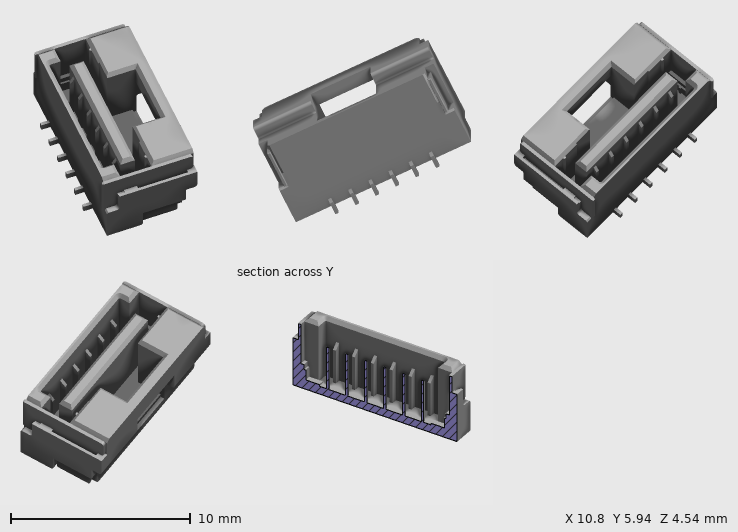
import cadquery as cq
import math


width = 10.85
depth = 5.44
height = 4.4
edge_chamfer = 0.21
ledge_height = 3.16

overhang_length = 0.69
overhang_base = 1.88
overhang_nose_radius = 0.2
overhang_root_radius = 0.11
base_depth = depth - overhang_length

plate_thickness = 0.21
plate_outer = 5.08
plate_inner = plate_outer - plate_thickness
plate_top = 4.22
plate_back = 5.33
plate_corner_radius = 0.17
tip_inset = 0.03
tab_projection = 0.11
tab_base = 2.08
foot_front = 2.2
foot_back = 4.37
foot_drop = 0.14

notch_length = 0.76
notch_base = 2.02
notch_root_radius = 0.17
notch_lip_chamfer = 0.1

slot_width = 0.17
front_slot_depth = 0.1
rear_slot_depth = 0.29
rear_slot_front = 1.94
rear_slot_back = 4.95
front_slot_back = 1.15

recess_front = 2.18
recess_height = 1.01
recess_bevel = 0.12

floor_height = 0.65
front_wall = 0.33
post_back = 1.02
post_inner = 3.94
post_root_radius = 0.1
block_front = 2.91
relief_half_width = 3.02
relief_depth = 0.07
lower_wall_inner = 4.56
lower_wall_height = 1.3
middle_wall_inner = 4.67
middle_wall_height = 1.63
trench_half_width = 3.66
trench_depth = 0.11

window_half_width = 1.85
window_back = 4.68
window_bar_base = 3.12
floor_step_front = 4.5
floor_step_drop = 0.22

tongue_half_width = 3.8
tongue_front = 1.49
tongue_back = 2.34
tongue_top = 3.97

block_rib_center = 4.09
block_rib_root_width = 0.2
block_rib_tip_width = 0.12
block_rib_projection = 0.1
block_rib_top = height - edge_chamfer
wall_rib_front = 1.87
wall_rib_length = 0.16
wall_rib_projection = 0.08

contact_count = 6
contact_pitch = 1.25
contact_width = 0.2
tail_length = 0.5
tail_top = 0.25
tail_bend_start = 0.45
tail_bend_end = 0.22
tongue_contact_depth = 0.23
tongue_contact_top = 3.47
wall_contact_depth = 0.35
wall_contact_top = 3.04
contact_slope_drop = 0.33

margin = 0.01


def box(x0, x1, y0, y1, z0, z1):
    """Box between two opposite corners."""
    return cq.Workplane("XY").box(x1 - x0, y1 - y0, z1 - z0, centered=False).translate((x0, y0, z0))


def centred_box(half_width, y0, y1, z0, z1):
    """Box symmetric about X = 0."""
    return box(-half_width, half_width, y0, y1, z0, z1)


def side_prism(points, x0, x1):
    """Outline of (Y, Z) points extruded from x0 to x1."""
    return cq.Workplane("YZ").polyline(points).close().extrude(x1 - x0).translate((x0, 0, 0))


def both_sides(shape):
    """Shape together with its mirror image across X = 0."""
    return shape.union(shape.mirror("YZ"))


def make_cavity():
    """Open-topped space: contact space, mating space and rear window, down to the floor."""
    contact_space = centred_box(post_inner, front_wall, post_back, floor_height - trench_depth, height)
    contact_space = contact_space.edges("|Z and <Y").fillet(post_root_radius)
    mating_space = centred_box(plate_inner, post_back, block_front, floor_height, height)
    window = centred_box(window_half_width, block_front - margin, window_back, floor_height, height)
    return contact_space.union(mating_space).union(window)


def make_upper_body():
    """Full-height housing with its cavity and a top rim chamfered except at the front and rear."""
    body = centred_box(plate_inner, 0, depth, 0, height).cut(make_cavity())
    rim_edges = body.faces(">Z").edges(cq.selectors.BoxSelector(
        (-plate_inner - margin, margin, height - margin),
        (plate_inner + margin, depth - margin, height + margin)))
    return rim_edges.chamfer(edge_chamfer)


def make_side_ledge():
    """Right-hand thick lower side, outside the cavity, with its front notch and clearance slots."""
    ledge = box(plate_inner, width / 2, 0, depth, 0, ledge_height)
    notch = box(plate_outer, width / 2, 0, notch_length, notch_base, ledge_height)
    notch = notch.edges("|X and >Y and <Z").fillet(notch_root_radius)
    ledge = ledge.cut(notch)
    lip = cq.selectors.BoxSelector((plate_outer, -margin, notch_base - margin),
                                   (width / 2, margin, notch_base + margin))
    ledge = ledge.edges(lip).chamfer(notch_lip_chamfer)
    slot_outer = plate_outer + slot_width
    front_slot = box(plate_outer, slot_outer, notch_length, front_slot_back,
                     ledge_height - front_slot_depth, ledge_height)
    rear_slot = box(plate_outer, slot_outer, rear_slot_front, rear_slot_back,
                    ledge_height - rear_slot_depth, ledge_height)
    return ledge.cut(front_slot).cut(rear_slot)


def make_overhang_cut():
    """Space below the rear overhang, with its rounded root and nose."""
    half = width / 2
    space = centred_box(half, base_depth, depth + margin, -margin, overhang_base)
    space = space.edges("|X and <Y and >Z").fillet(overhang_root_radius)
    nose = overhang_nose_radius
    nose_corner = centred_box(half, depth - nose, depth, overhang_base, overhang_base + nose)
    nose_round = cq.Workplane("YZ").center(depth - nose, overhang_base + nose).circle(nose)
    nose_corner = nose_corner.cut(nose_round.extrude(half, both=True))
    return space.union(nose_corner)


def make_foot_recess():
    """Right-hand recess around the plate foot, bevelled along its bottom edges."""
    outline = [(recess_front - recess_bevel, 0), (recess_front, recess_bevel), (recess_front, recess_height),
               (base_depth, recess_height), (base_depth, 0)]
    recess = side_prism(outline, plate_inner, width / 2)
    bevel = (cq.Workplane("XZ")
             .polyline([(plate_inner, 0), (plate_inner, recess_bevel), (plate_inner - recess_bevel, 0)])
             .close().extrude(-(base_depth - recess_front + recess_bevel))
             .translate((0, recess_front - recess_bevel, 0)))
    return recess.union(bevel)


def make_plate():
    """Right-hand metal plate: upper bar, front leg with a tapered tab, and solder foot with a tapered tip."""
    bar = box(plate_inner, plate_outer, 0, plate_back, ledge_height, plate_top)
    bar = bar.edges("|X and >Y").fillet(plate_corner_radius)
    leg = box(plate_inner, plate_outer, 0, notch_length, notch_base, plate_top)
    plate_middle = (plate_inner + plate_outer) / 2
    tab_height = plate_top - tab_base
    tab = (cq.Workplane("XZ").center(plate_middle, tab_base + tab_height / 2)
           .rect(plate_thickness, tab_height)
           .extrude(tab_projection, taper=math.degrees(math.atan(tip_inset / tab_projection))))
    foot = box(plate_inner, plate_outer, foot_front, foot_back, 0, recess_height)
    foot_length = foot_back - foot_front
    foot_tip = (cq.Workplane("XY").center(plate_middle, foot_front + foot_length / 2)
                .rect(plate_thickness, foot_length)
                .extrude(-foot_drop, taper=math.degrees(math.atan(tip_inset / foot_drop))))
    return bar.union(leg).union(tab).union(foot).union(foot_tip)


def make_side_wall_steps():
    """Right-hand steps low on the cavity wall, with the small wall rib."""
    lower = box(lower_wall_inner, plate_inner, post_back, block_front, 0, lower_wall_height)
    middle = box(middle_wall_inner, plate_inner, post_back, block_front, 0, middle_wall_height)
    rib = box(lower_wall_inner - wall_rib_projection, plate_inner, wall_rib_front,
              wall_rib_front + wall_rib_length, 0, lower_wall_height)
    return lower.union(middle).union(rib)


def make_block_rib():
    """Right-hand rib on the front face of the rear block, narrowing towards its tip."""
    rib_front = block_front - block_rib_projection
    half_root = block_rib_root_width / 2
    half_tip = block_rib_tip_width / 2
    outline = [(-half_root, block_front), (-half_tip, rib_front),
               (half_tip, rib_front), (half_root, block_front)]
    rib = cq.Workplane("XY").polyline(outline).close().extrude(block_rib_top)
    return rib.translate((block_rib_center, 0, 0))


def make_tongue():
    """Central tongue with a chamfered top."""
    tongue = centred_box(tongue_half_width, tongue_front, tongue_back, 0, tongue_top)
    return tongue.faces(">Z").chamfer(edge_chamfer)


def make_contact(x):
    """Contact centred at x: sloped blades on the tongue and on the front wall, and a solder tail."""
    x0 = x - contact_width / 2
    x1 = x + contact_width / 2
    tongue_blade = side_prism(
        [(tongue_front, 0), (tongue_front, tongue_contact_top),
         (tongue_front - tongue_contact_depth, tongue_contact_top - contact_slope_drop),
         (tongue_front - tongue_contact_depth, 0)], x0, x1)
    wall_blade = side_prism(
        [(front_wall, 0), (front_wall, wall_contact_top),
         (front_wall + wall_contact_depth, wall_contact_top - contact_slope_drop),
         (front_wall + wall_contact_depth, 0)], x0, x1)
    tail = side_prism(
        [(-tail_length, tail_top), (-tail_length, -foot_drop), (tail_bend_end, -foot_drop),
         (tail_bend_start, 0), (tail_bend_start, tail_top)], x0, x1)
    return tongue_blade.union(wall_blade).union(tail)


relief_back = block_front + relief_depth
relief_top = height - edge_chamfer + relief_depth
trench_floor = floor_height - trench_depth
step_floor = floor_height - floor_step_drop
block_relief = centred_box(relief_half_width, block_front, relief_back, floor_height, relief_top)
rear_opening = centred_box(window_half_width, window_back, depth, floor_height, window_bar_base)
floor_step = centred_box(window_half_width, floor_step_front, depth, step_floor, floor_height)
contact_trench = centred_box(trench_half_width, post_back, tongue_front, trench_floor, floor_height)

result = make_upper_body().union(both_sides(make_side_ledge()))
result = result.cut(block_relief).cut(rear_opening).cut(floor_step).cut(contact_trench)
result = result.cut(make_overhang_cut())
result = result.cut(both_sides(make_foot_recess()))

result = result.union(both_sides(make_side_wall_steps()))
result = result.union(both_sides(make_block_rib()))
result = result.union(make_tongue())

result = result.union(both_sides(make_plate()))
for index in range(contact_count):
    contact_x = (index - (contact_count - 1) / 2) * contact_pitch
    result = result.union(make_contact(contact_x))